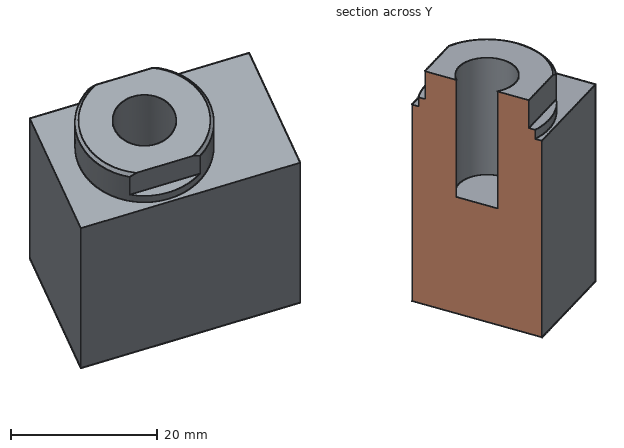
import cadquery as cq

total_height = 38.0
body_width = 20.0
body_length = 32.0
body_height = 32.0
boss_diameter = 19.0
boss_height = total_height - body_height
boss_offset_y = -3.0
boss_chamfer = 0.5

flat_spacing = 16.0
flat_height = 4.52
bore_diameter = 8.7
bore_depth = 19.0


def make_body():
    """Rectangular block standing on Z = 0."""
    return cq.Workplane("XY").box(body_width, body_length, body_height, centered=(True, True, False))


def make_boss():
    """Round boss with a chamfered rim and two opposite flats above a full-round foot."""
    foot_height = boss_height - flat_height
    cylinder = cq.Workplane("XY").circle(boss_diameter / 2).extrude(boss_height)
    cylinder = cylinder.faces(">Z").chamfer(boss_chamfer)
    foot_envelope = cq.Workplane("XY").rect(boss_diameter, boss_diameter).extrude(foot_height)
    flat_envelope = cq.Workplane("XY").rect(flat_spacing, boss_diameter).extrude(boss_height)
    boss = cylinder.intersect(foot_envelope.union(flat_envelope))
    return boss.translate((0, boss_offset_y, body_height))


def make_bore():
    """Blind bore running down from the top of the boss."""
    bore = cq.Workplane("XY").circle(bore_diameter / 2).extrude(-bore_depth)
    return bore.translate((0, boss_offset_y, total_height))


result = make_body().union(make_boss()).cut(make_bore())